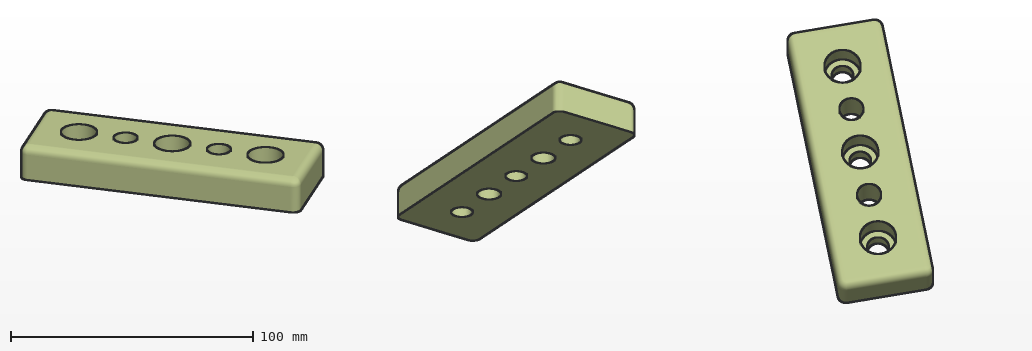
import cadquery as cq

length = 120.0
width = length / 3
height = length / 8
edge_radius = 3.5

hole_spacing = length / 6
plain_diameter = 10.0
screw_diameter = 9.0
counterbore_diameter = 15.0
counterbore_depth = 9.0

plain_positions = [(side * hole_spacing, 0) for side in (-1, 1)]
screw_positions = [(side * 2 * hole_spacing, 0) for side in (-1, 0, 1)]


def rounded_block():
    """Block on the XY plane with equal rounds on the corners and the top rim."""
    block = cq.Workplane("XY").box(length, width, height, centered=(True, True, False))
    return block.edges("|Z or >Z").fillet(edge_radius)


def cut_holes(block):
    """Cut the plain through holes and the counterbored screw holes from the top."""
    drilled = (
        block.faces(">Z")
        .workplane(origin=(0, 0, height))
        .pushPoints(plain_positions)
        .hole(plain_diameter)
    )
    return (
        drilled.faces(">Z")
        .workplane(origin=(0, 0, height))
        .pushPoints(screw_positions)
        .cboreHole(screw_diameter, counterbore_diameter, counterbore_depth)
    )


result = cut_holes(rounded_block())